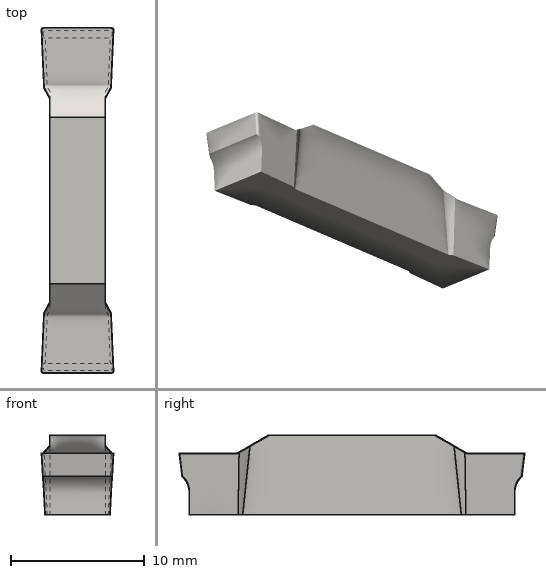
import math

import cadquery as cq


def tan_deg(angle):
    return math.tan(math.radians(angle))


total_length = 25.88
total_height = 5.97
body_width = 4.16
ramp_angle = 30.0
crest_length = 12.46
head_height = 4.6
ramp_fillet_radius = 0.35

edge_width = 5.426
neck_y = 8.46
side_relief = 2.5
neck_angle = 30.0
draft_angle = 3.0
corner_radius = 0.2

end_relief = 7.0
lip_z = 2.9
groove_z = 1.73
foot_inset = 0.74
end_allowance = 1.0

half_length = total_length / 2
half_crest = crest_length / 2
ramp_foot_y = half_crest + (total_height - head_height) / tan_deg(ramp_angle)
lip_y = half_length - (head_height - lip_z) * tan_deg(end_relief)
foot_y = half_length - foot_inset


def side_profile():
    """Base, ramps and cutting faces, with overlong square ends."""
    profile = (
        cq.Workplane("YZ")
        .polyline([
            (-total_length, 0),
            (total_length, 0),
            (total_length, head_height),
            (ramp_foot_y, head_height),
            (half_crest, total_height),
            (-half_crest, total_height),
            (-ramp_foot_y, head_height),
            (-total_length, head_height),
        ])
        .close()
        .extrude(edge_width, both=True)
    )
    ramp_feet = cq.selectors.BoxSelector(
        (-edge_width, -half_length, head_height / 2),
        (edge_width, half_length, (head_height + total_height) / 2),
    )
    return profile.edges("|X").edges(ramp_feet).fillet(ramp_fillet_radius)


def drafted_head():
    """Head at +Y with drafted flanks and neck, longer than the finished head."""
    growth = (total_height - head_height) * tan_deg(draft_angle)
    flank_slope = tan_deg(side_relief)
    neck_slope = tan_deg(neck_angle)
    flank_x = edge_width / 2 - flank_slope * half_length
    neck_x = flank_x + (flank_slope - neck_slope) * neck_y
    flank_top_x = flank_x + growth / math.cos(math.radians(side_relief))
    neck_top_x = neck_x + growth / math.cos(math.radians(neck_angle))
    corner_y = (flank_top_x - neck_top_x) / (neck_slope - flank_slope)
    corner_half = flank_top_x + flank_slope * corner_y
    inner_half = body_width / 4
    inner_y = (inner_half - neck_top_x) / neck_slope
    outer_y = half_length + end_allowance
    outer_half = flank_top_x + flank_slope * outer_y
    return (
        cq.Workplane("XY", origin=(0, 0, total_height))
        .polyline([
            (inner_half, inner_y),
            (corner_half, corner_y),
            (outer_half, outer_y),
            (-outer_half, outer_y),
            (-corner_half, corner_y),
            (-inner_half, inner_y),
        ])
        .close()
        .extrude(-total_height, taper=draft_angle)
    )


def end_relief_cutter():
    """Everything beyond the relieved end face at +Y."""
    rise = total_height - head_height
    return (
        cq.Workplane("YZ")
        .polyline([
            (half_length - head_height * tan_deg(end_relief), 0),
            (half_length + rise * tan_deg(end_relief), total_height),
            (total_length, total_height),
            (total_length, 0),
        ])
        .close()
        .extrude(edge_width, both=True)
    )


def groove_cutter():
    """Space under the lip: an arc tangent to the upright foot of the end face."""
    depth = lip_y - foot_y
    rise = lip_z - groove_z
    sweep = 2 * math.atan2(depth, rise)
    radius = rise / math.sin(sweep)
    middle_y = foot_y + radius * (1 - math.cos(sweep / 2))
    middle_z = groove_z + radius * math.sin(sweep / 2)
    return (
        cq.Workplane("YZ")
        .moveTo(foot_y, 0)
        .lineTo(foot_y, groove_z)
        .threePointArc((middle_y, middle_z), (lip_y, lip_z))
        .lineTo(total_length, lip_z)
        .lineTo(total_length, 0)
        .close()
        .extrude(edge_width, both=True)
    )


def head():
    block = drafted_head().cut(end_relief_cutter())
    block = block.faces(">Y").edges("not |X").fillet(corner_radius)
    return block.cut(groove_cutter())


body = cq.Workplane("XY").box(
    body_width, 2 * neck_y, total_height, centered=(True, True, False)
)
near_head = head()
far_head = near_head.mirror("XZ")
result = body.union(near_head).union(far_head).intersect(side_profile())